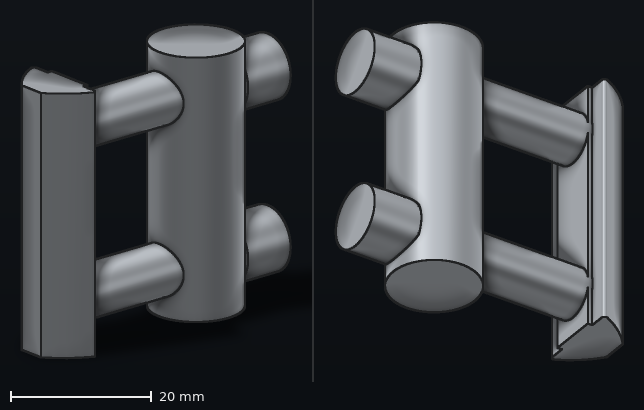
import cadquery as cq

post_diameter = 14.0
height = 40.0

row_spacing = 25.97
rod_diameter = 8.0
peg_diameter = 10.0
peg_length = 8.0
peg_end_y = 13.5

overall_length = 44.4
grip_front_y = peg_end_y - overall_length
grip_depth = 7.2
rib_width = 7.75
rib_depth = 0.75
grip_width = 14.07
front_flat_width = 4.17
flank_bulge_radius = 16.0
corner_radius = 0.5

rib_back_y = grip_front_y + grip_depth
ledge_y = rib_back_y - rib_depth


def cylinder_along_y(diameter, y_start, y_end, z):
    """Solid cylinder on X = 0 running from y_start up to y_end."""
    return (
        cq.Workplane("XZ", origin=(0, y_end, z))
        .circle(diameter / 2)
        .extrude(y_end - y_start)
    )


def make_post():
    return cq.Workplane("XY").circle(post_diameter / 2).extrude(height / 2, both=True)


def make_grip():
    half_flat = front_flat_width / 2
    half_grip = grip_width / 2
    body = (
        cq.Workplane("XY")
        .moveTo(-half_flat, grip_front_y)
        .lineTo(half_flat, grip_front_y)
        .radiusArc((half_grip, ledge_y), -flank_bulge_radius)
        .lineTo(-half_grip, ledge_y)
        .radiusArc((-half_flat, grip_front_y), -flank_bulge_radius)
        .close()
        .extrude(height / 2, both=True)
        .edges("|Z and >Y")
        .fillet(corner_radius)
    )
    rib = cq.Workplane("XY").rect(rib_width, rib_depth).extrude(height / 2, both=True)
    return body.union(rib.translate((0, ledge_y + rib_depth / 2, 0)))


result = make_post().union(make_grip())
for row_z in (-row_spacing / 2, row_spacing / 2):
    rod = cylinder_along_y(rod_diameter, ledge_y, 0, row_z)
    peg = cylinder_along_y(peg_diameter, peg_end_y - peg_length, peg_end_y, row_z)
    result = result.union(rod).union(peg)